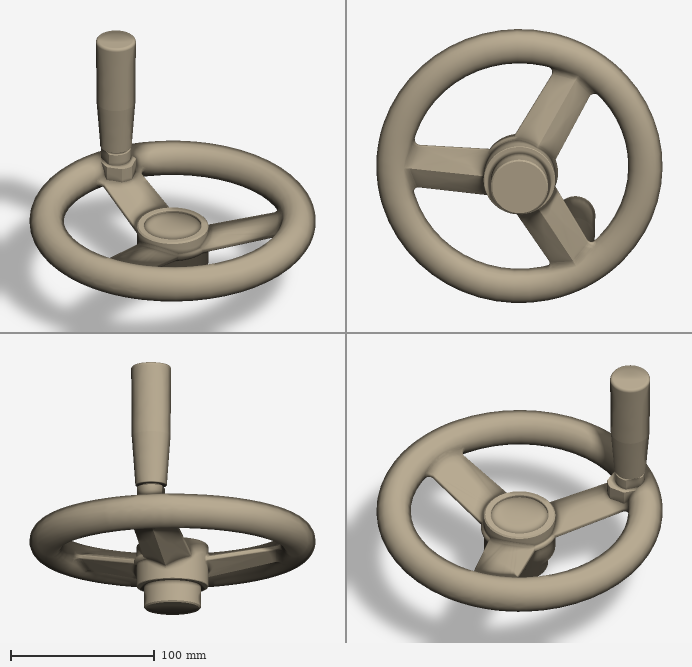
import cadquery as cq
import math

rim_outer_radius = 100.0
rim_tube_radius = 12.0
rim_center_radius = rim_outer_radius - rim_tube_radius
rim_z = 48.5

spigot_radius = 20.0
spigot_height = 15.5
spigot_chamfer = 1.0
hub_radius = 25.0
hub_top_z = 45.5
hub_top_chamfer = 1.0
hub_bottom_chamfer = 0.4
recess_radius = 20.0
recess_depth = 2.0
recess_chamfer = 0.4

collar_inner_radius = 22.0
collar_radius = 27.0
collar_half_height = 2.2
collar_root_fillet = 0.8
collar_z = 33.4

spoke_count = 3
handle_spoke_angle = 180.0
keel_slope = 0.30
spoke_edge_slope = 0.235
spoke_start = 12.0
spoke_end = 83.0
spoke_half_width_hub = 16.7
spoke_half_width_rim = 15.0
spoke_edge_thickness = 2.6
spoke_crown = 3.0
keel_z_at_hub = 24.2
spoke_edge_z_at_hub = 33.6
spoke_edge_fillet = 1.0
rim_joint_fillet = 4.0
hub_joint_fillet = 1.5

rim_joint_min_radius = 60.0
hub_joint_min_radius = 20.0
hub_joint_max_radius = hub_radius + 0.1
spoke_min_edge = 40.0
straight_tolerance = 0.05
ridge_off_axis = 0.2

handle_radial = 80.0
boss_radius = 16.0
boss_half_width = 11.75
boss_corner_offset = 13.8
boss_seat_z = 58.9
boss_bottom_z = 48.0
boss_outer_reach = 2.0

handle_top_z = 154.8
handle_top_radius = 14.0
handle_waist_z = 104.8
handle_waist_radius = 13.6
handle_bottom_z = 69.1
handle_bottom_radius = 11.0
handle_top_fillet = 2.0
handle_bottom_fillet = 0.5
neck_radius = 7.25
nut_radius = 10.4
nut_top_z = 67.5
nut_across_flats = 17.7
nut_top_chamfer = 0.3


def make_rim():
    return (
        cq.Workplane("XZ")
        .center(rim_center_radius, rim_z)
        .circle(rim_tube_radius)
        .revolve(360, (-rim_center_radius, 0), (-rim_center_radius, 1))
    )


def make_hub():
    spigot = cq.Workplane("XY").circle(spigot_radius).extrude(spigot_height)
    spigot = spigot.faces("<Z").chamfer(spigot_chamfer)
    barrel = (
        cq.Workplane("XY", origin=(0, 0, spigot_height))
        .circle(hub_radius)
        .extrude(hub_top_z - spigot_height)
    )
    barrel = barrel.faces(">Z").chamfer(hub_top_chamfer).faces("<Z").chamfer(hub_bottom_chamfer)
    return spigot.union(barrel)


def make_collar():
    """Rounded bead around the barrel, with a concave fillet above and below it."""
    fillet = collar_root_fillet
    bottom_z = collar_z - collar_half_height - fillet
    top_z = collar_z + collar_half_height + fillet
    bead_root = hub_radius + fillet
    fillet_mid = fillet * math.sin(math.radians(45))
    return (
        cq.Workplane("XZ")
        .moveTo(collar_inner_radius, bottom_z)
        .lineTo(hub_radius, bottom_z)
        .threePointArc((bead_root - fillet_mid, bottom_z + fillet_mid), (bead_root, bottom_z + fillet))
        .threePointArc((collar_radius, collar_z), (bead_root, top_z - fillet))
        .threePointArc((bead_root - fillet_mid, top_z - fillet_mid), (hub_radius, top_z))
        .lineTo(collar_inner_radius, top_z)
        .close()
        .revolve(360, (0, 0), (0, 1))
    )


def spoke_section(distance):
    """Cross-section wire at a distance from the axis: keeled underside, crowned top."""
    share = (distance - hub_radius) / (spoke_end - hub_radius)
    half_width = spoke_half_width_hub + share * (spoke_half_width_rim - spoke_half_width_hub)
    keel_z = keel_z_at_hub + keel_slope * (distance - hub_radius)
    lower_edge_z = spoke_edge_z_at_hub + spoke_edge_slope * (distance - hub_radius)
    upper_edge_z = lower_edge_z + spoke_edge_thickness
    return (
        cq.Workplane("YZ", origin=(distance, 0, 0))
        .moveTo(0, keel_z)
        .lineTo(half_width, lower_edge_z)
        .lineTo(half_width, upper_edge_z)
        .threePointArc((0, upper_edge_z + spoke_crown), (-half_width, upper_edge_z))
        .lineTo(-half_width, lower_edge_z)
        .close()
        .val()
    )


def make_spoke():
    sections = [spoke_section(spoke_start), spoke_section(spoke_end)]
    return cq.Workplane(cq.Solid.makeLoft(sections, True))


def angle_of(point):
    return math.degrees(math.atan2(point.y, point.x))


def is_joint(edge, min_radius, max_radius):
    """True for the curved edges of a spoke joint whose middle lies between two radii."""
    center = edge.Center()
    radius = math.hypot(center.x, center.y)
    return min_radius < radius < max_radius and edge.geomType() == "BSPLINE"


def is_spoke_side_edge(edge):
    """True for the long straight edges of the spoke sides, but not for the keel ridge."""
    chord = (edge.endPoint() - edge.startPoint()).Length
    if edge.Length() < spoke_min_edge or edge.Length() > chord + straight_tolerance:
        return False
    center = edge.Center()
    off_axis = math.sin(math.radians(spoke_count * (angle_of(center) - handle_spoke_angle)))
    return abs(off_axis) > ridge_off_axis


def make_filleted_frame():
    """Rim, spokes and hub as one solid, with the spoke joints and side edges rounded."""
    frame = make_rim()
    spoke = make_spoke()
    for i in range(spoke_count):
        angle = handle_spoke_angle + i * 360 / spoke_count
        frame = frame.union(spoke.rotate((0, 0, 0), (0, 0, 1), angle))
    frame = frame.union(make_hub())
    fillet = cq.occ_impl.shapes.BRepFilletAPI_MakeFillet(frame.solids().val().wrapped)
    for edge in frame.edges().vals():
        if is_joint(edge, rim_joint_min_radius, rim_center_radius):
            fillet.Add(rim_joint_fillet, edge.wrapped)
        elif is_joint(edge, hub_joint_min_radius, hub_joint_max_radius):
            fillet.Add(hub_joint_fillet, edge.wrapped)
        elif is_spoke_side_edge(edge):
            fillet.Add(spoke_edge_fillet, edge.wrapped)
    return cq.Workplane(cq.Shape.cast(fillet.Shape())).solids()


def make_boss():
    """Pad under the handle: a disc with flat sides and two cut corners towards the hub."""
    height = boss_seat_z - boss_bottom_z
    disc = cq.Workplane("XY").circle(boss_radius).extrude(height)
    sides = cq.Workplane("XY").rect(2 * boss_radius, 2 * boss_half_width).extrude(height)
    corners = (
        cq.Workplane("XY")
        .transformed(rotate=(0, 0, 45))
        .rect(2 * boss_corner_offset, 2 * boss_corner_offset)
        .extrude(height)
    )
    inner_part = (
        cq.Workplane("XY")
        .center((boss_radius - boss_outer_reach) / 2, 0)
        .rect(boss_radius + boss_outer_reach, 2 * boss_radius)
        .extrude(height)
    )
    boss = disc.intersect(sides).intersect(corners).intersect(inner_part)
    return boss.translate((-handle_radial, 0, boss_bottom_z))


def make_wheel():
    wheel = make_filleted_frame().union(make_collar(), clean=False)
    recess = (
        cq.Workplane("XY", origin=(0, 0, hub_top_z - recess_depth))
        .circle(recess_radius)
        .extrude(recess_depth)
    )
    recess_bevel = (
        cq.Workplane("XY", origin=(0, 0, hub_top_z))
        .circle(recess_radius + recess_chamfer)
        .extrude(-recess_chamfer, taper=45)
    )
    wheel = wheel.cut(recess.union(recess_bevel), clean=False)
    spot_face = (
        cq.Workplane("XY", origin=(-handle_radial, 0, boss_seat_z))
        .circle(nut_radius)
        .extrude(rim_tube_radius)
    )
    return wheel.union(make_boss(), clean=False).cut(spot_face, clean=False)


def make_handle():
    grip = (
        cq.Workplane("XZ")
        .moveTo(0, handle_bottom_z)
        .lineTo(handle_bottom_radius, handle_bottom_z)
        .lineTo(handle_waist_radius, handle_waist_z)
        .lineTo(handle_top_radius, handle_top_z)
        .lineTo(0, handle_top_z)
        .close()
        .revolve(360, (0, 0), (0, 1))
    )
    grip = grip.faces(">Z").edges().fillet(handle_top_fillet)
    grip = grip.faces("<Z").edges().fillet(handle_bottom_fillet)
    neck = (
        cq.Workplane("XY", origin=(0, 0, nut_top_z))
        .circle(neck_radius)
        .extrude(handle_bottom_z - nut_top_z)
    )
    nut_height = nut_top_z - boss_seat_z
    nut = cq.Workplane("XY").circle(nut_radius).extrude(nut_height)
    nut = nut.faces(">Z").chamfer(nut_top_chamfer)
    flats = cq.Workplane("XY").rect(2 * nut_radius, nut_across_flats).extrude(nut_height)
    nut = nut.intersect(flats).translate((0, 0, boss_seat_z))
    return grip.union(neck).union(nut).translate((-handle_radial, 0, 0))


wheel = make_wheel()
handle = make_handle()
result = cq.Compound.makeCompound([wheel.solids().val(), handle.val()])